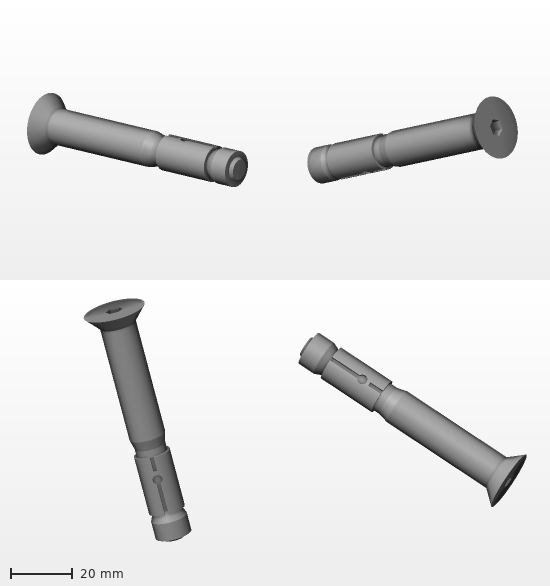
import cadquery as cq


head_diameter = 20.5
shank_diameter = 12.0
neck_diameter = 10.2
clip_bore = 9.6
waist_diameter = 9.0
tip_diameter = 8.0
tip_end_diameter = 6.7

head_end = 4.9
shank_end = 44.0
neck_start = 47.5
clip_start = 50.0
clip_end = 70.0
cone_end = 72.8
collar_end = 78.8
tip_chamfer_start = 79.0
bolt_length = 80.0

cone_slope = (shank_diameter - clip_bore) / (cone_end - clip_end)
cone_start = cone_end - (shank_diameter - waist_diameter) / cone_slope

socket_across_flats = 5.0
socket_depth = 3.0
socket_turn = 180 / 6

slot_width = 1.3
short_slot_end = 55.0
relief_hole_center = 57.7
relief_hole_diameter = 3.2


def make_bolt():
    """Turned bolt with a countersunk head, a waist for the clip and an expander cone."""
    outline = [
        (0, 0),
        (0, head_diameter / 2),
        (head_end, shank_diameter / 2),
        (shank_end, shank_diameter / 2),
        (neck_start, neck_diameter / 2),
        (clip_start, neck_diameter / 2),
        (clip_start, waist_diameter / 2),
        (cone_start, waist_diameter / 2),
        (cone_end, shank_diameter / 2),
        (collar_end, shank_diameter / 2),
        (collar_end, tip_diameter / 2),
        (tip_chamfer_start, tip_diameter / 2),
        (bolt_length, tip_end_diameter / 2),
        (bolt_length, 0),
    ]
    bolt = cq.Workplane("XY").polyline(outline).close().revolve(360, (0, 0, 0), (1, 0, 0))
    socket = (
        cq.Workplane("YZ")
        .polygon(6, socket_across_flats, circumscribed=True)
        .extrude(socket_depth)
        .rotate((0, 0, 0), (1, 0, 0), socket_turn)
    )
    return bolt.cut(socket)


def clip_slot(start, end):
    """Straight slot cutter along X that passes through both sides of the clip."""
    middle = (start + end) / 2
    return cq.Workplane("XY").box(end - start, slot_width, shank_diameter).translate((middle, 0, 0))


def make_clip():
    """Tube with a short slot at the head end and a keyhole slot at the cone end."""
    clip = (
        cq.Workplane("YZ", origin=(clip_start, 0, 0))
        .circle(shank_diameter / 2)
        .circle(clip_bore / 2)
        .extrude(clip_end - clip_start)
    )
    relief_hole = (
        cq.Workplane("XY")
        .center(relief_hole_center, 0)
        .circle(relief_hole_diameter / 2)
        .extrude(shank_diameter / 2, both=True)
    )
    short_slot = clip_slot(clip_start, short_slot_end)
    long_slot = clip_slot(relief_hole_center, clip_end)
    return clip.cut(short_slot).cut(relief_hole).cut(long_slot)


bolt = make_bolt()
clip = make_clip()
result = cq.Compound.makeCompound([bolt.solids().val(), clip.solids().val()])